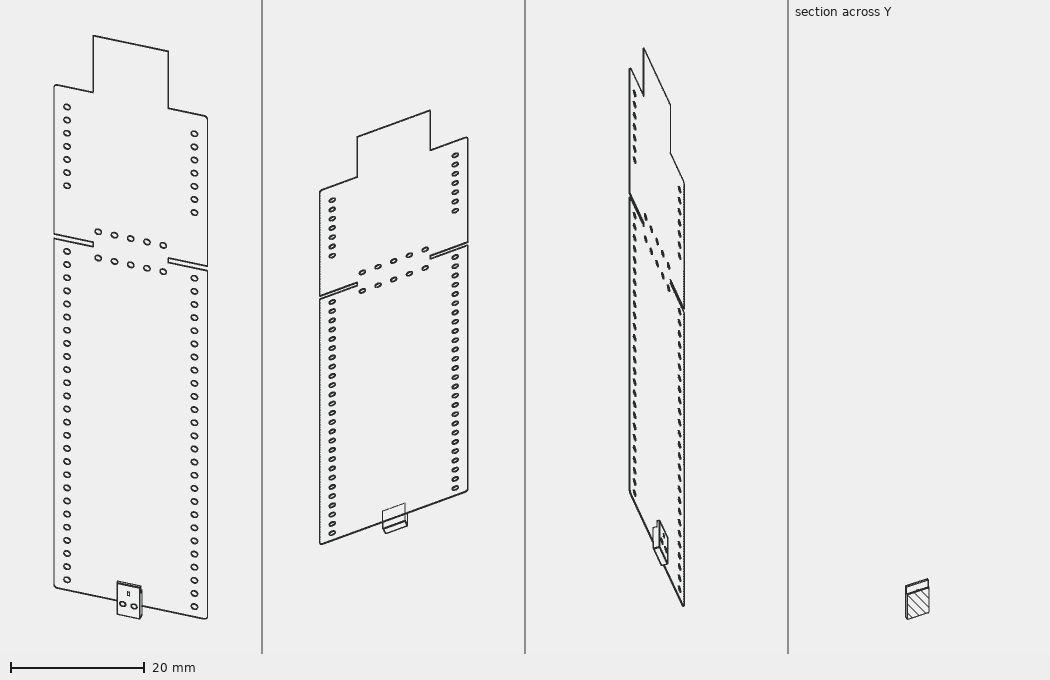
import cadquery as cq

BOARD_WIDTH = 24.2
BOARD_THICKNESS = 0.15
BOARD_BOTTOM = 1.8
SHOULDER_HEIGHT = 99.8
TONGUE_TOP = 110.9
TONGUE_WIDTH = 11.9
CORNER_RADIUS = 0.5

NOTCH_BOTTOM = 69.7
NOTCH_HEIGHT = 0.9

HOLE_DIAMETER = 1.0
HOLE_COLUMN_SPACING = 20.1
LOWEST_HOLE = 3.8
LOWER_COLUMN_LENGTH = 64.0
LOWER_COLUMN_COUNT = 26
UPPER_COLUMN_COUNT = 7
NECK_ROW_COUNT = 5
HOLE_PITCH = LOWER_COLUMN_LENGTH / (LOWER_COLUMN_COUNT - 1)
LOWER_NECK_ROW = LOWEST_HOLE + LOWER_COLUMN_LENGTH
UPPER_NECK_ROW = LOWER_NECK_ROW + 2 * HOLE_PITCH
UPPER_COLUMN_START = LOWER_NECK_ROW + 5 * HOLE_PITCH

HOUSING_WIDTH = 3.7
HOUSING_DEPTH = 1.06
HOUSING_HEIGHT = 6.2
LIP_BASE = 4.9
LIP_THICKNESS = 0.4
HOUSING_CHAMFER = 0.1
HOUSING_FRONT = -HOUSING_DEPTH

INSERT_DEPTH = 0.3
CONTACT_SPACING = 1.8
CONTACT_HEIGHT = 2.3
SLEEVE_DIAMETER = 1.0
PIN_DIAMETER = 0.8
MARKER_WIDTH = 0.3
MARKER_HEIGHT = 0.7
MARKER_TOP = LIP_BASE


def block(width, bottom, top, front, back):
    """Box centred on X between two heights and two Y positions."""
    corner = (-width / 2, front, bottom)
    return cq.Workplane("XY").box(width, back - front, top - bottom, centered=False).translate(corner)


def board_layer(width, bottom, top):
    """Box through the full thickness of the board."""
    return block(width, bottom, top, 0, BOARD_THICKNESS)


def hole_column(start, count):
    """Hole centres of the left and right columns that rise from one height."""
    sides = (-HOLE_COLUMN_SPACING / 2, HOLE_COLUMN_SPACING / 2)
    return [(x, start + i * HOLE_PITCH) for x in sides for i in range(count)]


def neck_row(height):
    """Hole centres of a row centred on the neck."""
    middle = (NECK_ROW_COUNT - 1) / 2
    return [((i - middle) * HOLE_PITCH, height) for i in range(NECK_ROW_COUNT)]


def make_board():
    body = board_layer(BOARD_WIDTH, BOARD_BOTTOM, SHOULDER_HEIGHT).edges("|Y").fillet(CORNER_RADIUS)
    notch_band = board_layer(BOARD_WIDTH, NOTCH_BOTTOM, NOTCH_BOTTOM + NOTCH_HEIGHT)
    spine = board_layer(TONGUE_WIDTH, BOARD_BOTTOM, TONGUE_TOP)
    outline = body.cut(notch_band).union(spine)

    centres = hole_column(LOWEST_HOLE, LOWER_COLUMN_COUNT)
    centres += hole_column(UPPER_COLUMN_START, UPPER_COLUMN_COUNT)
    centres += neck_row(LOWER_NECK_ROW) + neck_row(UPPER_NECK_ROW)
    holes = cq.Workplane("XZ").pushPoints(centres).circle(HOLE_DIAMETER / 2).extrude(-BOARD_THICKNESS)
    return outline.cut(holes)


def make_housing():
    """Housing before its insert pockets are cut: an L profile, chamfered round front and bottom."""
    full = block(HOUSING_WIDTH, 0, HOUSING_HEIGHT, HOUSING_FRONT, 0)
    behind_lip = block(HOUSING_WIDTH, LIP_BASE, HOUSING_HEIGHT, HOUSING_FRONT + LIP_THICKNESS, 0)
    return full.cut(behind_lip).edges("<Y or <Z").chamfer(HOUSING_CHAMFER)


def make_plug(x, diameter):
    """Round plug that fills a contact position from the housing front inward."""
    front = cq.Workplane("XZ", origin=(x, HOUSING_FRONT, CONTACT_HEIGHT))
    return front.circle(diameter / 2).extrude(-INSERT_DEPTH)


def make_pin(x):
    return make_plug(x, PIN_DIAMETER)


def make_sleeve(x):
    return make_plug(x, SLEEVE_DIAMETER).cut(make_pin(x))


def make_marker():
    return block(
        MARKER_WIDTH, MARKER_TOP - MARKER_HEIGHT, MARKER_TOP, HOUSING_FRONT, HOUSING_FRONT + INSERT_DEPTH
    )


board = make_board()
marker = make_marker()
housing = make_housing().cut(marker)

sleeves = []
pins = []
for contact_x in (-CONTACT_SPACING / 2, CONTACT_SPACING / 2):
    housing = housing.cut(make_plug(contact_x, SLEEVE_DIAMETER))
    sleeves.append(make_sleeve(contact_x).val())
    pins.append(make_pin(contact_x).val())

result = cq.Compound.makeCompound([board.val(), housing.val(), marker.val(), *sleeves, *pins])